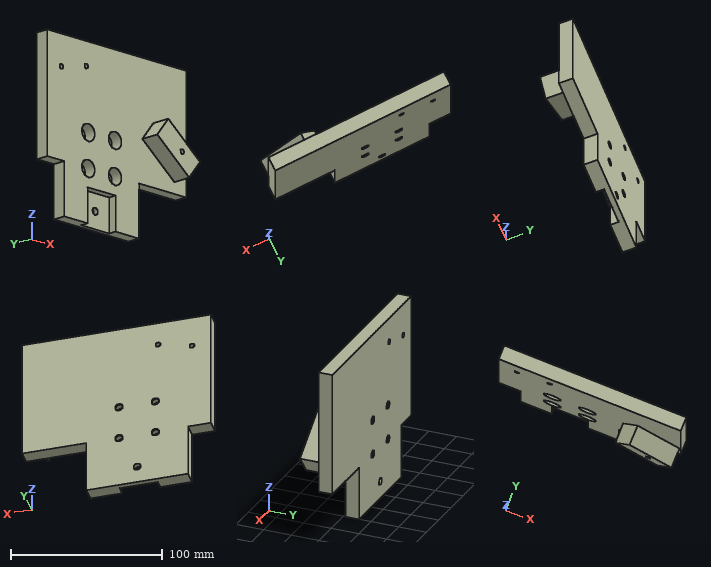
import cadquery as cq
import math

plate_width = 130.0
plate_height = 88.0
thickness = 10.0

tongue_width = 70.0
tongue_drop = 38.3
tongue_left = 15.8
tongue_center_x = tongue_left + tongue_width / 2

notch_width = 26.0
notch_height = 25.0
notch_depth = 6.0
notch_hole_diameter = 4.8
notch_hole_z = -tongue_drop + notch_height / 2

bolt_spacing = 25.0
bolt_diameter = 5.1
counterbore_diameter = 12.0
counterbore_depth = 9.0
bolt_row_z = -0.15

small_diameter = 3.3
small_hole_places = [(13.1, 22.9), (36.4, 17.5)]

block_length = 38.0
block_width = 16.7
block_height = 14.0
block_angle = 38.0
block_center_x = 108.95
block_center_z = 26.45
block_hole_x = 112.2
block_hole_z = bolt_row_z + bolt_spacing
block_hole_depth = 10.0
drill_point_angle = 118.0

tilt_angle = 0.125


def box_at(left, bottom, width, height, depth):
    """Box with its front face on the XZ plane, reaching `depth` toward +Y."""
    return cq.Workplane("XY").box(width, depth, height, centered=False).translate((left, 0, bottom))


def hole_at(x, z, diameter, depth, front_y=0.0):
    """Cylinder along +Y, starting at `front_y`."""
    return cq.Workplane("XZ", origin=(x, front_y, z)).circle(diameter / 2).extrude(-depth)


def make_body():
    plate = box_at(0, 0, plate_width, plate_height, thickness)
    tongue = box_at(tongue_left, -tongue_drop, tongue_width, tongue_drop, thickness)
    return plate.union(tongue)


def make_drilled_hole():
    """Blind hole in the block's front face: a straight bore, then the drill point."""
    radius = small_diameter / 2
    point_length = radius / math.tan(math.radians(drill_point_angle / 2))
    bore_end_y = block_hole_depth - block_height
    bore = hole_at(block_hole_x, block_hole_z, small_diameter, block_hole_depth, -block_height)
    point = cq.Solid.makeCone(
        radius,
        0,
        point_length,
        pnt=cq.Vector(block_hole_x, bore_end_y, block_hole_z),
        dir=cq.Vector(0, 1, 0),
    )
    return bore.union(cq.Workplane(obj=point))


def make_block():
    face = cq.Workplane("XZ", origin=(block_center_x, 0, block_center_z))
    block = face.transformed(rotate=(0, 0, -block_angle)).rect(block_length, block_width).extrude(block_height)
    return block.cut(make_drilled_hole())


def cut_notch(body):
    notch_left = tongue_center_x - notch_width / 2
    body = body.cut(box_at(notch_left, -tongue_drop, notch_width, notch_height, notch_depth))
    return body.cut(hole_at(tongue_center_x, notch_hole_z, notch_hole_diameter, thickness))


def cut_bolt_holes(body):
    for side in (-1, 1):
        x = tongue_center_x + side * bolt_spacing / 2
        for row in range(2):
            z = bolt_row_z + row * bolt_spacing
            body = body.cut(hole_at(x, z, bolt_diameter, thickness))
            body = body.cut(hole_at(x, z, counterbore_diameter, counterbore_depth))
    return body


def cut_small_holes(body):
    for x, below_top in small_hole_places:
        body = body.cut(hole_at(x, plate_height - below_top, small_diameter, thickness))
    return body


body = make_body()
body = cut_notch(body)
body = cut_bolt_holes(body)
body = cut_small_holes(body)
body = body.union(make_block())
result = body.rotate((0, 0, 0), (0, 0, 1), tilt_angle)